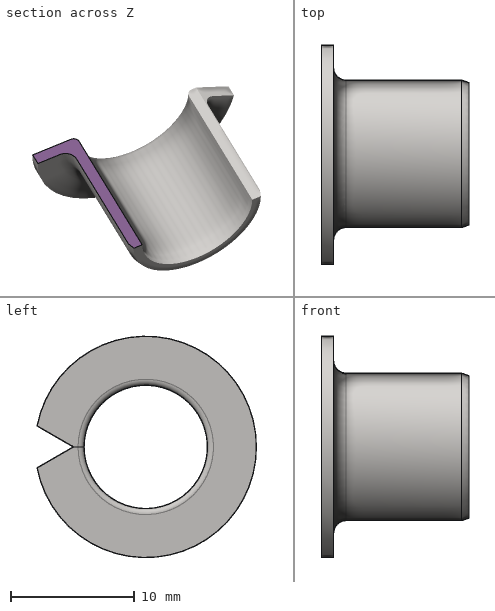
import cadquery as cq
import math

length = 12.0
bore_radius = 5.0
wall = 1.0
sleeve_radius = bore_radius + wall
flange_radius = 9.0
bend_inner_radius = 0.5
bend_outer_radius = 1.0
chamfer_length = 0.6
chamfer_angle = 20.0
slit_width = 0.01
notch_half_angle = 30.0
notch_tip_y = sleeve_radius - 0.1

chamfer_depth = chamfer_length * math.tan(math.radians(chamfer_angle))
arc_midpoint = 1 - math.sqrt(0.5)


def bushing_body():
    """Revolve the wall section (X along the axis, Y as radius) about the X axis."""
    mouth_mid = bend_inner_radius * arc_midpoint
    fillet_mid = bend_outer_radius * arc_midpoint
    return (
        cq.Workplane("XY")
        .moveTo(bend_inner_radius, bore_radius)
        .lineTo(length, bore_radius)
        .lineTo(length, sleeve_radius - chamfer_depth)
        .lineTo(length - chamfer_length, sleeve_radius)
        .lineTo(wall + bend_outer_radius, sleeve_radius)
        .threePointArc(
            (wall + fillet_mid, sleeve_radius + fillet_mid),
            (wall, sleeve_radius + bend_outer_radius),
        )
        .lineTo(wall, flange_radius)
        .lineTo(0, flange_radius)
        .lineTo(0, bore_radius + bend_inner_radius)
        .threePointArc(
            (mouth_mid, bore_radius + mouth_mid),
            (bend_inner_radius, bore_radius),
        )
        .close()
        .revolve(360, (0, 0, 0), (1, 0, 0))
    )


def split_cutter():
    """Narrow slit through the whole wall, opening into a V notch beyond its tip."""
    slit_half = slit_width / 2
    end_y = flange_radius + wall
    end_half = slit_half + (end_y - notch_tip_y) * math.tan(math.radians(notch_half_angle))
    return (
        cq.Workplane("YZ")
        .moveTo(0, -slit_half)
        .lineTo(notch_tip_y, -slit_half)
        .lineTo(end_y, -end_half)
        .lineTo(end_y, end_half)
        .lineTo(notch_tip_y, slit_half)
        .lineTo(0, slit_half)
        .close()
        .extrude(length)
    )


result = bushing_body().cut(split_cutter())